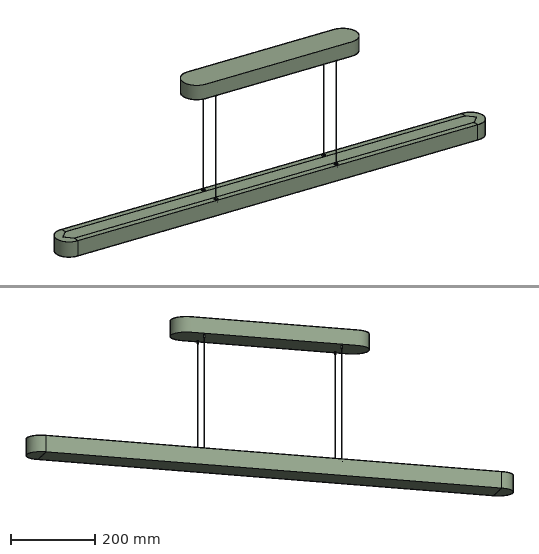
import cadquery as cq

overall_length = 1205.0
overall_height = 362.0

bar_width = 71.0
bar_height = 41.0
bar_bottom = -overall_height / 2
bar_top = bar_bottom + bar_height
cap_radius = bar_width / 2
cap_lip = 2.0
rail_length = overall_length - 2 * (cap_radius + cap_lip)
diffuser_width = 40.0
diffuser_depth = 6.0

canopy_width = 78.0
canopy_length = 490.0
canopy_height = 39.0
canopy_bottom = overall_height / 2 - canopy_height

wire_diameter = 1.0
wire_spacing_x = 55.0
wire_spacing_y = 340.0
collar_diameter = 4.0
collar_height = 7.0
foot_diameter = 10.0
foot_depth = 6.0
wire_places = [
    (side_x * wire_spacing_x / 2, side_y * wire_spacing_y / 2)
    for side_x in (-1, 1)
    for side_y in (-1, 1)
]


def make_diffuser():
    """Long strip whose ends run to 90 degree points inside the caps."""
    half_width = diffuser_width / 2
    shoulder = rail_length / 2
    tip = shoulder + half_width
    return (
        cq.Workplane("XY", origin=(0, 0, bar_top - diffuser_depth))
        .polyline([
            (half_width, -shoulder),
            (half_width, shoulder),
            (0, tip),
            (-half_width, shoulder),
            (-half_width, -shoulder),
            (0, -tip),
        ])
        .close()
        .extrude(diffuser_depth)
    )


def cylinder(x, y, bottom, diameter, height):
    return cq.Workplane("XY", origin=(x, y, bottom)).circle(diameter / 2).extrude(height)


def make_wire_foot(x, y):
    return cylinder(x, y, bar_top - foot_depth, foot_diameter, foot_depth)


def make_rail():
    """Straight bar with a recess for the diffuser and holes for the wire feet."""
    rail = (
        cq.Workplane("XY", origin=(0, 0, bar_bottom))
        .rect(bar_width, rail_length)
        .extrude(bar_height)
        .cut(make_diffuser())
    )
    for x, y in wire_places:
        rail = rail.cut(make_wire_foot(x, y))
    return rail


def make_end_cap(end):
    """Rounded cap at the +Y end (end = 1) or the -Y end (end = -1) of the rail."""
    joint = end * rail_length / 2
    round_start = joint + end * cap_lip
    tip = end * overall_length / 2
    return (
        cq.Workplane("XY", origin=(0, 0, bar_bottom))
        .moveTo(-cap_radius, joint)
        .lineTo(-cap_radius, round_start)
        .threePointArc((0, tip), (cap_radius, round_start))
        .lineTo(cap_radius, joint)
        .close()
        .extrude(bar_height)
        .cut(make_diffuser())
    )


def make_canopy():
    return (
        cq.Workplane("XY", origin=(0, 0, canopy_bottom))
        .slot2D(canopy_length, canopy_width, angle=90)
        .extrude(canopy_height)
    )


def make_wire(x, y):
    strand = cylinder(x, y, bar_top, wire_diameter, canopy_bottom - bar_top)
    collar = cylinder(x, y, canopy_bottom - collar_height, collar_diameter, collar_height)
    return strand.union(collar).union(make_wire_foot(x, y))


rail = make_rail()
end_caps = [make_end_cap(end) for end in (-1, 1)]
diffuser = make_diffuser()
canopy = make_canopy()
wires = [make_wire(x, y) for x, y in wire_places]

bodies = [rail, *end_caps, diffuser, canopy, *wires]
result = cq.Compound.makeCompound([body.solids().val() for body in bodies])